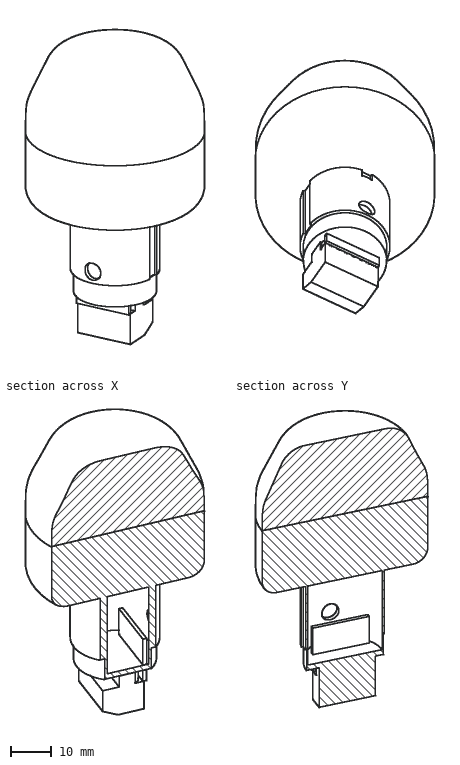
import cadquery as cq
import math

overall_height = 75.7
head_diameter = 44.0
head_radius = head_diameter / 2

cap_bottom_z = 53.7
rim_top_diameter = 43.8
rim_top_z = 58.6
cone_bottom_diameter = 42.0
cone_bottom_z = 62.6
crown_flat_radius = 10.45
cone_top_radius = 16.9
cone_top_z = 71.65

head_bottom_z = 35.3
head_bottom_fillet = 4.0

neck_diameter = 22.0
neck_bottom_z = 17.25
collar_diameter = 20.4
collar_bottom_z = 11.3

groove_mouth_width = 3.3
groove_floor_width = 3.0
notch_mouth_width = 2.8
notch_floor_width = 2.4
slot_depth = 0.6
notch_bottom_z = 33.0

chamber_diameter = 19.5
chamber_floor_z = 12.9
side_hole_diameter = 4.5
side_hole_z = 20.35

block_width = 14.9
block_middle_x = -0.6
block_front_y = -4.3
block_back_y = 6.7
block_top_z = 8.1
block_slope_y = 4.1
block_slope_z = 2.05
web_front_y = -2.0
web_back_y = 2.35

plate_front_y = -5.0
plate_thickness = 1.0
plate_top_z = 20.4
pin_diameter = 2.8
pin_x = -6.3
pin_y = -2.0


def box_between(width, y_start, y_end, z_start, z_end):
    """Box centred on X, given by its Y and Z limits."""
    size_y = y_end - y_start
    size_z = z_end - z_start
    middle = (0, (y_start + y_end) / 2, (z_start + z_end) / 2)
    return cq.Workplane("XY").box(width, size_y, size_z).translate(middle)


def cylinder_between(diameter, z_start, z_end):
    """Upright cylinder on the Z axis."""
    return cq.Workplane("XY").workplane(offset=z_start).circle(diameter / 2).extrude(z_end - z_start)


def make_cap():
    cone_bottom_radius = cone_bottom_diameter / 2
    return (
        cq.Workplane("XZ")
        .moveTo(0, cap_bottom_z)
        .lineTo(head_radius, cap_bottom_z)
        .lineTo(rim_top_diameter / 2, rim_top_z)
        .tangentArcPoint((cone_bottom_radius, cone_bottom_z), relative=False)
        .lineTo(cone_top_radius, cone_top_z)
        .tangentArcPoint((crown_flat_radius, overall_height), relative=False)
        .lineTo(0, overall_height)
        .close()
        .revolve(360, (0, 0, 0), (0, 1, 0))
    )


def make_slot(mouth_width, floor_width, bottom_z, angle):
    """Cutter for an upright slot in the neck, narrowing inwards, turned about Z from the +X side."""
    neck_radius = neck_diameter / 2
    floor_x = neck_radius - slot_depth
    mouth_x = math.sqrt(neck_radius**2 - (mouth_width / 2) ** 2)
    return (
        cq.Workplane("XY", origin=(0, 0, bottom_z))
        .moveTo(floor_x, -floor_width / 2)
        .lineTo(mouth_x, -mouth_width / 2)
        .lineTo(neck_radius, -mouth_width / 2)
        .lineTo(neck_radius, mouth_width / 2)
        .lineTo(mouth_x, mouth_width / 2)
        .lineTo(floor_x, floor_width / 2)
        .close()
        .extrude(head_bottom_z - bottom_z)
        .rotate((0, 0, 0), (0, 0, 1), angle)
    )


def make_stem():
    neck = cylinder_between(neck_diameter, neck_bottom_z, head_bottom_z)

    for angle in (0, 180):
        neck = neck.cut(make_slot(groove_mouth_width, groove_floor_width, neck_bottom_z, angle))
    neck = neck.cut(make_slot(notch_mouth_width, notch_floor_width, notch_bottom_z, -90))

    collar = cylinder_between(collar_diameter, collar_bottom_z, neck_bottom_z)
    chamber = cylinder_between(chamber_diameter, chamber_floor_z, head_bottom_z)
    side_hole = (
        cq.Workplane("XZ", origin=(0, 0, side_hole_z))
        .circle(side_hole_diameter / 2)
        .extrude(neck_diameter / 2)
    )
    return neck.union(collar).cut(chamber).cut(side_hole)


def make_contact_block():
    block = (
        cq.Workplane("YZ")
        .moveTo(block_front_y, 0)
        .lineTo(block_back_y - block_slope_y, 0)
        .lineTo(block_back_y, block_slope_z)
        .lineTo(block_back_y, block_top_z)
        .lineTo(block_front_y, block_top_z)
        .close()
        .extrude(block_width / 2, both=True)
    )
    web = box_between(block_width, web_front_y, web_back_y, block_top_z, collar_bottom_z)
    plate = box_between(
        block_width, plate_front_y, plate_front_y + plate_thickness, block_top_z, plate_top_z
    )
    pin = cylinder_between(pin_diameter, block_top_z, collar_bottom_z).translate((pin_x, pin_y, 0))
    shift = (block_middle_x, 0, 0)
    return block.union(web).union(plate).translate(shift).union(pin)


def make_base():
    head = (
        cylinder_between(head_diameter, head_bottom_z, cap_bottom_z)
        .faces("<Z")
        .edges()
        .fillet(head_bottom_fillet)
    )
    return head.union(make_stem()).union(make_contact_block())


cap = make_cap()
base = make_base()
result = cq.Compound.makeCompound([cap.val(), base.val()])